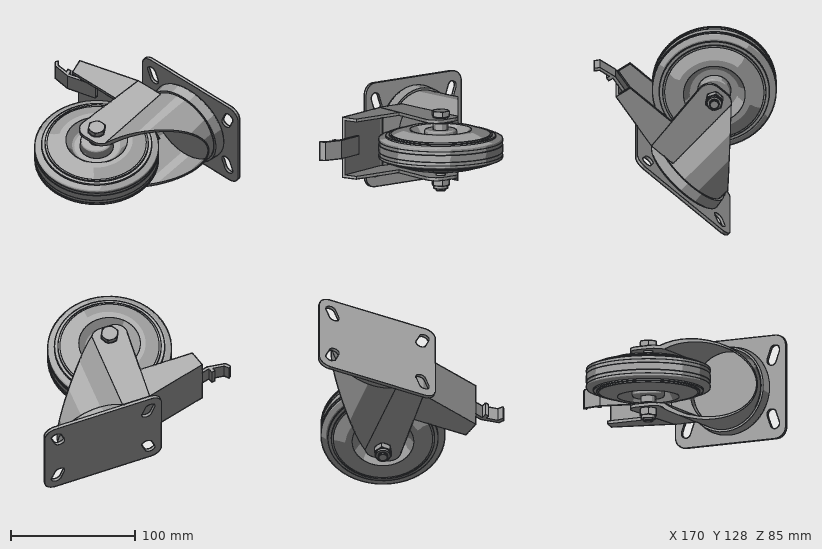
import cadquery as cq
import math


PLATE_LENGTH = 100.0
PLATE_WIDTH = 85.0
PLATE_THICKNESS = 2.5
PLATE_CORNER_RADIUS = 9.2
PLATE_TOP_Y = 78.0
PLATE_BOTTOM_Y = PLATE_TOP_Y - PLATE_THICKNESS
SWIVEL_X = 35.0
SLOT_SPACING_X = 77.7
SLOT_SPACING_Z = 52.4
SLOT_LENGTH = 17.0
SLOT_WIDTH = 8.5
SLOT_TILT = 20.0

RING_NECK_HEIGHT = 0.8
RING_HEIGHT = 8.5
RING_TOP_RADIUS = 36.0
RING_BOTTOM_RADIUS = 69.5 / 2
RING_TOP_Y = PLATE_BOTTOM_Y - RING_NECK_HEIGHT
RING_BOTTOM_Y = RING_TOP_Y - RING_HEIGHT

FORK_RADIUS = 66.0 / 2
FORK_CAVITY_RADIUS = 61.0 / 2
FORK_CAVITY_X = 36.9
SHEET = 2.5
ARM_OUTER_Z = 24.8
ARM_INNER_Z = ARM_OUTER_Z - SHEET
ARM_TOP_Y = 64.5
ARM_END_RADIUS = 10.0
ARM_END_CENTER_X = 5.0
ARM_LEAN = 4.4
BACK_SLOPE = 50.0
CROWN_THICKNESS = 4.2

BRACKET_OUTER_Z = 24.6
BRACKET_TIP_X = -60.4
BRACKET_BOTTOM_Y = 37.9
BRACKET_SLOPE = 14.7
BRACKET_BEND_X = -11.5
PEDAL_WIDTH = 15.0
PEDAL_END_X = -43.4
PEDAL_BEND_X = -67.7
PEDAL_LOWER_BEND_X = -67.2
PEDAL_STOP_TOP = [(-68.8, 50.5), (-71.7, 50.0)]
PEDAL_STOP_FOOT = (-71.0, 47.3)
PEDAL_TIP = [(-80.2, 48.5), (-83.3, 51.8), (-85.0, 50.2), (-82.1, 46.4)]

SHANK_RADIUS = 8.0 / 2
SLEEVE_RADIUS = 12.0 / 2
SLEEVE_END_Z = 20.2
HEX_ACROSS_FLATS = 12.8
HEX_CHAMFER_RISE = 0.5
HEX_CHAMFER_RUN = 0.8
HEAD_TOP_Z = 30.3
HEAD_WASHER_HEIGHT = 0.8
HEAD_WASHER_RADIUS = 6.1
NUT_HEIGHT = 5.8
NUT_COLLAR_HEIGHT = 2.5
NUT_COLLAR_RADIUS = 11.5 / 2
BOLT_TIP_Z = -35.2
BOLT_TIP_CHAMFER = 0.7

WHEEL_HALF_WIDTH = 15.0
TREAD_RADIUS = 100.0 / 2
TREAD_BAND_RADIUS = 99.5 / 2
TREAD_EDGE_Z = 7.3
TREAD_BAND_OUTER_Z = 5.8
TREAD_BAND_INNER_Z = 3.0
TREAD_CENTER_Z = 2.7
SHOULDER_ARC_START = (49.1, 8.3)
SHOULDER_ARC_MID = (49.6, 8.0)
TYRE_FOOT_RADIUS = 45.7
TYRE_FOOT_Z = 9.4
RIM_STEP_TOP_RADIUS = 44.2
RIM_STEP_FOOT_RADIUS = 44.5
RIM_STEP_Z = 10.4
FLANK_FOOT_RADIUS = 40.0
FLANK_LEDGE_RADIUS = 41.5
FLANK_LEDGE_FOOT_RADIUS = 41.6
FLANK_FOOT_Z = 11.4
FACE_RADIUS = 29.2
FACE_ARC_MID = (29.8, 14.91)
FACE_ARC_END = (30.3, 14.8)
HUB_RADIUS = 13.0
HUB_BASE_RADIUS = 13.5
HUB_FILLET = 1.4
FLOOR_Z = 7.5
FLOOR_RADIUS = 17.8
FLOOR_FILLET = 2.9
RECESS_WALL_RADIUS = 40.3 / 2
RECESS_MOUTH_RADIUS = 24.8


def prism(points, half_width):
    """Extrude a closed XY polygon symmetrically about Z = 0."""
    return cq.Workplane("XY").polyline(points).close().extrude(half_width, both=True)


def upright_cylinder(radius, center_x, bottom_y, top_y):
    """Cylinder parallel to Y on the Z = 0 plane."""
    return (
        cq.Workplane("XZ", origin=(center_x, top_y, 0))
        .circle(radius)
        .extrude(top_y - bottom_y)
    )


def round_bar(radius, bottom_z, top_z):
    """Cylinder on the Z axis."""
    return cq.Workplane("XY").workplane(offset=bottom_z).circle(radius).extrude(top_z - bottom_z)


def make_plate():
    plate = (
        cq.Workplane("XY")
        .box(PLATE_LENGTH, PLATE_THICKNESS, PLATE_WIDTH)
        .edges("|Y")
        .fillet(PLATE_CORNER_RADIUS)
        .translate((SWIVEL_X, PLATE_TOP_Y - PLATE_THICKNESS / 2, 0))
    )
    for side_x in (-1, 1):
        for side_z in (-1, 1):
            slot = (
                cq.Workplane("XZ", origin=(0, PLATE_TOP_Y, 0))
                .center(SWIVEL_X + side_x * SLOT_SPACING_X / 2, side_z * SLOT_SPACING_Z / 2)
                .slot2D(SLOT_LENGTH, SLOT_WIDTH, 90 - side_x * side_z * SLOT_TILT)
                .extrude(PLATE_THICKNESS)
            )
            plate = plate.cut(slot)
    return plate


def make_swivel_ring():
    ring = (
        cq.Workplane("XY")
        .polyline([
            (0, PLATE_BOTTOM_Y),
            (RING_BOTTOM_RADIUS, PLATE_BOTTOM_Y),
            (RING_BOTTOM_RADIUS, RING_TOP_Y),
            (RING_TOP_RADIUS, RING_TOP_Y),
            (RING_BOTTOM_RADIUS, RING_BOTTOM_Y),
            (0, RING_BOTTOM_Y),
        ])
        .close()
        .revolve(360, (0, 0, 0), (0, 1, 0))
    )
    return ring.translate((SWIVEL_X, 0, 0))


LEAN = math.radians(ARM_LEAN)
SLOPE = math.radians(BACK_SLOPE)
FRONT_TANGENT = (
    -ARM_END_CENTER_X - ARM_END_RADIUS * math.cos(LEAN),
    ARM_END_RADIUS * math.sin(LEAN),
)
BACK_TANGENT = (
    ARM_END_CENTER_X + ARM_END_RADIUS * math.sin(SLOPE),
    -ARM_END_RADIUS * math.cos(SLOPE),
)


def arm_front_x(y):
    """X of the leaning front edge of the arms at height y."""
    return FRONT_TANGENT[0] + (y - FRONT_TANGENT[1]) * math.tan(LEAN)


def fork_back_y(x):
    """Y of the sloping back edge of the fork at position x."""
    return BACK_TANGENT[1] + (x - BACK_TANGENT[0]) * math.tan(SLOPE)


def make_arm_block():
    """Both arms as one thick block, reaching to the swivel axis."""
    front_mid = (
        -ARM_END_CENTER_X - ARM_END_RADIUS * math.sqrt(0.5),
        -ARM_END_RADIUS * math.sqrt(0.5),
    )
    back_mid = (
        ARM_END_CENTER_X + ARM_END_RADIUS * math.sin(SLOPE / 2),
        -ARM_END_RADIUS * math.cos(SLOPE / 2),
    )
    return (
        cq.Workplane("XY")
        .moveTo(arm_front_x(ARM_TOP_Y), ARM_TOP_Y)
        .lineTo(*FRONT_TANGENT)
        .threePointArc(front_mid, (-ARM_END_CENTER_X, -ARM_END_RADIUS))
        .lineTo(ARM_END_CENTER_X, -ARM_END_RADIUS)
        .threePointArc(back_mid, BACK_TANGENT)
        .lineTo(SWIVEL_X, fork_back_y(SWIVEL_X))
        .lineTo(SWIVEL_X, ARM_TOP_Y)
        .close()
        .extrude(ARM_OUTER_Z, both=True)
    )


def make_fork_barrel():
    """Cylinder around the swivel axis, cut along the sloping back edge and behind the arms."""
    barrel_front = SWIVEL_X - FORK_RADIUS
    barrel_back = SWIVEL_X + FORK_RADIUS
    arm_joint_x = SWIVEL_X - math.sqrt(FORK_RADIUS**2 - ARM_OUTER_Z**2)
    kept_profile = prism(
        [
            (arm_joint_x, ARM_TOP_Y),
            (arm_joint_x, fork_back_y(arm_joint_x)),
            (barrel_back, fork_back_y(barrel_back)),
            (barrel_back, RING_BOTTOM_Y),
            (barrel_front, RING_BOTTOM_Y),
            (barrel_front, ARM_TOP_Y),
        ],
        FORK_RADIUS,
    )
    cylinder = upright_cylinder(FORK_RADIUS, SWIVEL_X, fork_back_y(arm_joint_x), RING_BOTTOM_Y)
    return cylinder.intersect(kept_profile)


def make_fork():
    lowest_y = -ARM_END_RADIUS
    crown_bottom_y = ARM_TOP_Y - CROWN_THICKNESS
    gap_front_x = -ARM_END_CENTER_X - ARM_END_RADIUS
    wheel_gap = prism(
        [
            (gap_front_x, lowest_y),
            (SWIVEL_X, lowest_y),
            (SWIVEL_X, crown_bottom_y),
            (gap_front_x, crown_bottom_y),
        ],
        ARM_INNER_Z,
    )
    cavity = upright_cylinder(FORK_CAVITY_RADIUS, FORK_CAVITY_X, lowest_y, RING_BOTTOM_Y)
    axle_hole = round_bar(SHANK_RADIUS, -ARM_OUTER_Z, ARM_OUTER_Z)
    fork = make_arm_block().union(make_fork_barrel())
    return fork.cut(wheel_gap).cut(cavity).cut(axle_hole)


RISE = math.tan(math.radians(BRACKET_SLOPE))
SHEET_DROP = SHEET / math.cos(math.radians(BRACKET_SLOPE))


def web_top_y(x):
    """Y of the upper face of the sloping bracket web."""
    return ARM_TOP_Y - (arm_front_x(ARM_TOP_Y) - x) * RISE


def web_underside_y(x):
    return web_top_y(x) - SHEET_DROP


def make_bracket():
    """Sloping U channel that opens downward and ends at the front edge of the arms."""
    tip_y = web_top_y(BRACKET_TIP_X)
    tip_bottom_x = BRACKET_TIP_X + (tip_y - BRACKET_BOTTOM_Y) * RISE
    arm_bottom_x = arm_front_x(BRACKET_BOTTOM_Y)
    bend_y = web_underside_y(BRACKET_BEND_X)
    channel = prism(
        [
            (BRACKET_TIP_X, tip_y),
            (tip_bottom_x, BRACKET_BOTTOM_Y),
            (arm_bottom_x, BRACKET_BOTTOM_Y),
            (arm_front_x(ARM_TOP_Y), ARM_TOP_Y),
        ],
        BRACKET_OUTER_Z,
    )
    inside = prism(
        [
            (BRACKET_TIP_X, web_underside_y(BRACKET_TIP_X)),
            (BRACKET_TIP_X, BRACKET_BOTTOM_Y),
            (arm_bottom_x, BRACKET_BOTTOM_Y),
            (arm_front_x(bend_y), bend_y),
            (BRACKET_BEND_X, bend_y),
        ],
        ARM_INNER_Z,
    )
    return channel.cut(inside)


def make_pedal():
    """Bent strip lying flat against the web, with a turned-up tip and a small upright stop."""
    return prism(
        [
            (PEDAL_END_X, web_underside_y(PEDAL_END_X)),
            (PEDAL_BEND_X, web_underside_y(PEDAL_BEND_X)),
            *PEDAL_STOP_TOP,
            PEDAL_STOP_FOOT,
            *PEDAL_TIP,
            (PEDAL_LOWER_BEND_X, web_underside_y(PEDAL_LOWER_BEND_X) - SHEET_DROP),
            (PEDAL_END_X, web_underside_y(PEDAL_END_X) - SHEET_DROP),
        ],
        PEDAL_WIDTH / 2,
    )


def make_housing():
    housing = make_plate()
    for piece in (make_swivel_ring(), make_fork(), make_bracket(), make_pedal()):
        housing = housing.union(piece)
    return housing


def make_wheel():
    """Two mirrored revolved sides on a plain center disc, with a bore for the axle sleeve."""
    wall_angle = math.acos((RECESS_WALL_RADIUS - FLOOR_RADIUS) / FLOOR_FILLET)
    fillet_z = FLOOR_Z + FLOOR_FILLET
    fillet_mid_angle = (math.pi / 2 + wall_angle) / 2
    fillet_mid = (
        FLOOR_RADIUS + FLOOR_FILLET * math.cos(fillet_mid_angle),
        fillet_z - FLOOR_FILLET * math.sin(fillet_mid_angle),
    )
    wall_foot = (RECESS_WALL_RADIUS, fillet_z - FLOOR_FILLET * math.sin(wall_angle))
    corner = HUB_FILLET * math.sqrt(0.5)
    hub_mid = (HUB_RADIUS - HUB_FILLET + corner, WHEEL_HALF_WIDTH - HUB_FILLET + corner)
    side = (
        cq.Workplane("XZ")
        .moveTo(SLEEVE_RADIUS, TREAD_CENTER_Z)
        .lineTo(SLEEVE_RADIUS, WHEEL_HALF_WIDTH)
        .lineTo(HUB_RADIUS - HUB_FILLET, WHEEL_HALF_WIDTH)
        .threePointArc(hub_mid, (HUB_RADIUS, WHEEL_HALF_WIDTH - HUB_FILLET))
        .lineTo(HUB_BASE_RADIUS, FLOOR_Z)
        .lineTo(FLOOR_RADIUS, FLOOR_Z)
        .threePointArc(fillet_mid, wall_foot)
        .lineTo(RECESS_MOUTH_RADIUS, WHEEL_HALF_WIDTH)
        .lineTo(FACE_RADIUS, WHEEL_HALF_WIDTH)
        .threePointArc(FACE_ARC_MID, FACE_ARC_END)
        .lineTo(FLANK_FOOT_RADIUS, FLANK_FOOT_Z)
        .lineTo(FLANK_LEDGE_RADIUS, FLANK_FOOT_Z)
        .lineTo(FLANK_LEDGE_FOOT_RADIUS, RIM_STEP_Z)
        .lineTo(RIM_STEP_TOP_RADIUS, RIM_STEP_Z)
        .lineTo(RIM_STEP_FOOT_RADIUS, TYRE_FOOT_Z)
        .lineTo(TYRE_FOOT_RADIUS, TYRE_FOOT_Z)
        .lineTo(*SHOULDER_ARC_START)
        .threePointArc(SHOULDER_ARC_MID, (TREAD_RADIUS, TREAD_EDGE_Z))
        .lineTo(TREAD_RADIUS, TREAD_BAND_OUTER_Z)
        .lineTo(TREAD_BAND_RADIUS, TREAD_BAND_OUTER_Z)
        .lineTo(TREAD_BAND_RADIUS, TREAD_BAND_INNER_Z)
        .lineTo(TREAD_RADIUS, TREAD_CENTER_Z)
        .close()
        .revolve(360, (0, 0, 0), (0, 1, 0))
    )
    bore = round_bar(SLEEVE_RADIUS, -TREAD_CENTER_Z, TREAD_CENTER_Z)
    center = round_bar(TREAD_RADIUS, -TREAD_CENTER_Z, TREAD_CENTER_Z).cut(bore)
    return center.union(side).union(side.mirror("XY"))


def hex_block(bottom_z, top_z):
    """Hexagon with its corners on X and conically chamfered at both ends."""
    corner_diameter = HEX_ACROSS_FLATS / math.cos(math.radians(30))
    height = top_z - bottom_z
    hexagon = (
        cq.Workplane("XY").workplane(offset=bottom_z).polygon(6, corner_diameter).extrude(height)
    )
    cone = round_bar(corner_diameter / 2, bottom_z, top_z)
    cone = cone.faces("<Z or >Z").edges().chamfer(HEX_CHAMFER_RISE, HEX_CHAMFER_RUN)
    return hexagon.intersect(cone)


def make_axle():
    """Bolt with its head on +Z, a sleeve through the wheel and a collared nut on -Z."""
    nut_bottom_z = -ARM_OUTER_Z - NUT_HEIGHT
    shank = round_bar(SHANK_RADIUS, BOLT_TIP_Z, ARM_OUTER_Z)
    shank = shank.faces("<Z").chamfer(BOLT_TIP_CHAMFER)
    sleeve = round_bar(SLEEVE_RADIUS, -SLEEVE_END_Z, SLEEVE_END_Z)
    head_bottom_z = ARM_OUTER_Z + HEAD_WASHER_HEIGHT
    washer_face = round_bar(HEAD_WASHER_RADIUS, ARM_OUTER_Z, head_bottom_z)
    head = hex_block(head_bottom_z, HEAD_TOP_Z)
    nut = hex_block(nut_bottom_z, -ARM_OUTER_Z)
    collar = round_bar(NUT_COLLAR_RADIUS, nut_bottom_z - NUT_COLLAR_HEIGHT, nut_bottom_z)
    axle = shank
    for piece in (sleeve, washer_face, head, nut, collar):
        axle = axle.union(piece)
    return axle


housing = make_housing().solids()
wheel = make_wheel().solids()
axle = make_axle().solids()

result = cq.Compound.makeCompound([housing.val(), wheel.val(), axle.val()])